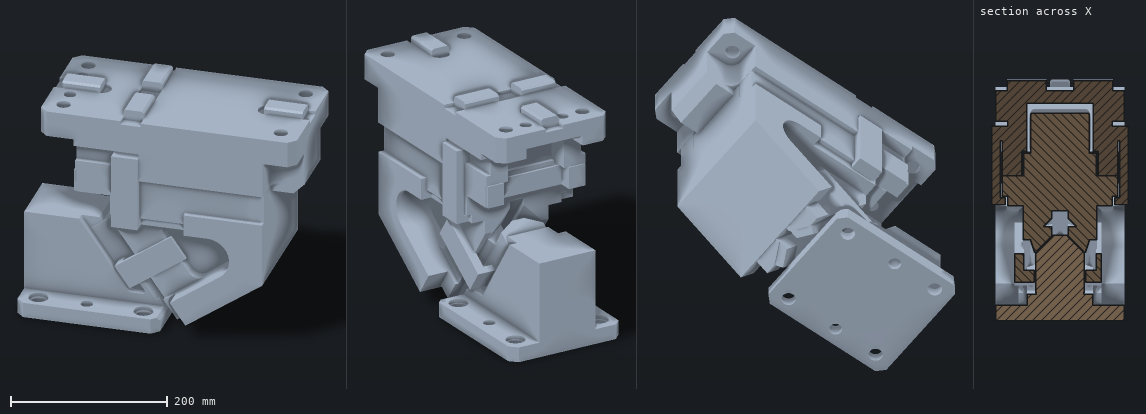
import cadquery as cq
import math


LENGTH = 372.0
HEIGHT = 309.0
HALF_WIDTH = 82.5
CORNER_CHAMFER = 10.0
STRAP_WIDTH = 35.0
MARGIN = 37.2
TILT = math.radians(35)
ROOF_SLOPE = math.tan(math.radians(30))

INCLINED = cq.Plane(
    origin=(0, 0, 0),
    xDir=(0, 1, 0),
    normal=(math.sin(TILT), 0, -math.cos(TILT)),
)
FRONT = cq.Plane(origin=(0, 0, 0), xDir=(1, 0, 0), normal=(0, -1, 0))


def inclined(n, s):
    """X and Z of a point given square to the roof (n) and down along it (s)."""
    return (
        n * math.cos(TILT) + s * math.sin(TILT),
        n * math.sin(TILT) - s * math.cos(TILT),
    )


def at_height(n, z):
    """X and Z of the point at height z on the plane n."""
    return ((n - z * math.sin(TILT)) / math.cos(TILT), z)


def at_x(n, x):
    """X and Z of the point at x on the plane n."""
    return (x, (n - x * math.cos(TILT)) / math.sin(TILT))


def box(x0, x1, y0, y1, z0, z1):
    return cq.Workplane("XY").box(x1 - x0, y1 - y0, z1 - z0, centered=False).translate((x0, y0, z0))


def wide_box(x0, x1, half_width, z0, z1):
    """Box centred on Y = 0."""
    return box(x0, x1, -half_width, half_width, z0, z1)


def slab(points, y0, y1):
    """XZ outline filled from y0 to y1."""
    return cq.Workplane(FRONT).polyline(points).close().extrude(y1 - y0).translate((0, y1, 0))


def wide_slab(points, half_width):
    return slab(points, -half_width, half_width)


def inclined_rectangle(n0, n1, s0, s1):
    return [inclined(n0, s0), inclined(n1, s0), inclined(n1, s1), inclined(n0, s1)]


def inclined_prism(section, s0, s1):
    """Section of (y, n) points run along the incline from s0 to s1."""
    return cq.Workplane(INCLINED).workplane(offset=s0).polyline(section).close().extrude(s1 - s0)


def both_sides(shape):
    """The shape with its mirror image across Y = 0."""
    return shape.union(shape.mirror("XZ"))


def corner_at(point):
    """Selector for the edge along Y through an XZ point."""
    x, z = point
    tolerance = 0.05
    low = (x - tolerance, -LENGTH, z - tolerance)
    high = (x + tolerance, LENGTH, z + tolerance)
    return cq.selectors.BoxSelector(low, high)


def round_holes(points, diameter, z0, z1):
    return cq.Workplane("XY").workplane(offset=z0).pushPoints(points).circle(diameter / 2).extrude(z1 - z0)


RIDGE_HALF_WIDTH = 9.0
TIP_HALF_WIDTH = 32.5
TIP_N = 165.0
PLATE_DROP = 9.5
SOLE_N = TIP_N + PLATE_DROP
RIDGE_N = TIP_N + (TIP_HALF_WIDTH - RIDGE_HALF_WIDTH) * ROOF_SLOPE

FOOT_LENGTH = 189.7
FOOT_HEIGHT = 20.5
BLOCK_HALF_WIDTH = 42.0
BLOCK_TOP = 130.2
RUNOUT_N = 164.0
UPPER_ROOF_HALF_WIDTH = 31.5
UPPER_ROOF_N = 136.5
ROOF_START = -44.3
ROOF_END = 77.7
SLOT_FLOOR = 30.5
SLOT_N = 134.3
LIP_N = 154.0
LIP_START = 28.0
SLOT_BOTTOM = 34.2
SLOT_CORNER_RADII = (7.5, 3.7)
SCREW_INSET = 25.0
SCREW_Y = 62.5
SCREW_DIAMETER = 18.2
SCREW_HEAD_DIAMETER = 26.0
SCREW_HEAD_DEPTH = 5.0
FOOT_DOWEL_X = 89.3
DOWEL_DIAMETER = 16.5


def make_foot():
    foot = wide_box(0, FOOT_LENGTH, HALF_WIDTH, 0, FOOT_HEIGHT).edges("|Z").chamfer(CORNER_CHAMFER)
    rows = (-SCREW_Y, SCREW_Y)
    screws = [(x, y) for x in (SCREW_INSET, FOOT_LENGTH - SCREW_INSET) for y in rows]
    dowels = [(FOOT_DOWEL_X, y) for y in rows]
    foot = foot.cut(round_holes(screws, SCREW_DIAMETER, 0, FOOT_HEIGHT))
    foot = foot.cut(round_holes(dowels, DOWEL_DIAMETER, 0, FOOT_HEIGHT))
    heads = round_holes(screws, SCREW_HEAD_DIAMETER, FOOT_HEIGHT - SCREW_HEAD_DEPTH, FOOT_HEIGHT)
    bevel = [
        at_height(RUNOUT_N, FOOT_HEIGHT),
        at_x(RUNOUT_N, FOOT_LENGTH),
        (FOOT_LENGTH, FOOT_HEIGHT),
    ]
    return foot.cut(heads).cut(wide_slab(bevel, HALF_WIDTH))


def make_block():
    """Upright block whose inclined face steps out below the roof."""
    outline = [
        (0, FOOT_HEIGHT),
        (0, BLOCK_TOP),
        at_height(LIP_N, BLOCK_TOP),
        inclined(LIP_N, ROOF_END),
        inclined(RUNOUT_N, ROOF_END),
        at_height(RUNOUT_N, FOOT_HEIGHT),
    ]
    return wide_slab(outline, BLOCK_HALF_WIDTH)


def roof_section(half_width, n0):
    eave_n = RIDGE_N - (half_width - RIDGE_HALF_WIDTH) * ROOF_SLOPE
    return [
        (-half_width, n0),
        (-half_width, eave_n),
        (-RIDGE_HALF_WIDTH, RIDGE_N),
        (RIDGE_HALF_WIDTH, RIDGE_N),
        (half_width, eave_n),
        (half_width, n0),
    ]


def make_hook_slot():
    """Slot in one side face for the slider's return hook, open at the top of the block."""
    outline = [
        at_height(SLOT_N, BLOCK_TOP + MARGIN),
        at_height(SLOT_N, SLOT_BOTTOM),
        at_height(LIP_N, SLOT_BOTTOM),
        at_height(LIP_N, BLOCK_TOP + MARGIN),
    ]
    slot = slab(outline, SLOT_FLOOR, HALF_WIDTH)
    blunt, sharp = SLOT_CORNER_RADII
    slot = slot.edges(corner_at(at_height(LIP_N, SLOT_BOTTOM))).fillet(sharp)
    return slot.edges(corner_at(at_height(SLOT_N, SLOT_BOTTOM))).fillet(blunt)


def make_driver():
    driver = make_block().cut(both_sides(make_hook_slot()))
    upper_roof = inclined_prism(roof_section(UPPER_ROOF_HALF_WIDTH, UPPER_ROOF_N), ROOF_START, ROOF_END)
    lower_roof = inclined_prism(roof_section(BLOCK_HALF_WIDTH, LIP_N), LIP_START, ROOF_END)
    return driver.union(upper_roof).union(lower_roof).union(make_foot())


SLIDER_LEFT = 124.0
SLIDER_RIGHT = 328.5
SLIDER_TOP = 186.5
NECK_HALF_WIDTH = 47.5
SHOULDER_HALF_WIDTH = 67.5
SHOULDER_BOTTOM = 147.0
RAIL_HALF_WIDTH = 74.5
RAIL_BOTTOM = 159.2
CHEEK_LEFT = 223.5
CHEEK_TOP = 176.0
CHEEK_N = 195.5
CHEEK_END = 115.0
INNER_LEG_HALF_WIDTH = 53.0
INNER_LEG_END = 110.5
WINDOW_S = 79.0
WINDOW_RADIUS = 29.0
POCKET_N = 224.7
POCKET_FLOOR = 33.0
POCKET_FILLET = 15.0
GROOVE_HALF_WIDTH = 10.5
GROOVE_TOP_N = 196.0
PLATE_START = -18.2
PLATE_END = 107.5
TONGUE_LEFT = 90.8
TONGUE_HALF_WIDTH = 47.0
TONGUE_BOTTOM = 188.2
TONGUE_TOP = 215.0
LUG_HALF_WIDTH = 38.0
LUG_STEP_X = 94.5
LUG_STEP_TOP = 222.0
LUG_LEFT = 100.5
LUG_RIGHT = 148.8
LUG_TOP = 266.0
LUG_FILLET = 2.2
RETURN_STRAP_S = 10.0
RETURN_STRAP_NEAR_OUTER = 53.0
RETURN_STRAP_FAR_OUTER = 58.5
RETURN_STRAP_GAP = 45.8
RETURN_STRAP_LOW_N = 143.5
RETURN_STRAP_HIGH_N = 234.5
RETURN_HOOK_TIP = 32.7
RETURN_HOOK_HEIGHT = 9.3

PLATE_LEAN = PLATE_DROP * ROOF_SLOPE
SOLE_EDGE = TIP_HALF_WIDTH + PLATE_LEAN
CHEEK_CORNER = (SLIDER_RIGHT, (SLIDER_RIGHT * math.sin(TILT) - CHEEK_END) / math.cos(TILT))


def slope_n(y, edge_y, edge_n):
    """n at half width y on a plane parallel to the roof through (edge_y, edge_n)."""
    return edge_n + (edge_y - y) * ROOF_SLOPE


def make_neck():
    outline = [
        (SLIDER_LEFT, SHOULDER_BOTTOM),
        at_x(SOLE_N, SLIDER_LEFT),
        inclined(SOLE_N, INNER_LEG_END),
        inclined(CHEEK_N, INNER_LEG_END),
        inclined(CHEEK_N, CHEEK_END),
        CHEEK_CORNER,
        (SLIDER_RIGHT, SHOULDER_BOTTOM),
    ]
    return wide_slab(outline, NECK_HALF_WIDTH)


def make_cheeks():
    """Outer side walls, with the inner legs that stiffen their lower ends."""
    outline = [
        (CHEEK_LEFT, CHEEK_TOP),
        (CHEEK_LEFT, SHOULDER_BOTTOM),
        at_height(CHEEK_N, SHOULDER_BOTTOM),
        inclined(CHEEK_N, CHEEK_END),
        CHEEK_CORNER,
        (SLIDER_RIGHT, CHEEK_TOP),
    ]
    inner_leg = inclined_rectangle(SOLE_N, CHEEK_N, WINDOW_S, INNER_LEG_END)
    return wide_slab(outline, HALF_WIDTH).union(wide_slab(inner_leg, INNER_LEG_HALF_WIDTH))


def make_window(left_n, y0):
    """Cutter for one side: flat roof, round right end, lower wall square to the incline."""
    radius = WINDOW_RADIUS
    center_z = SHOULDER_BOTTOM - radius
    center_s = WINDOW_S - radius
    center_x = (center_s + center_z * math.cos(TILT)) / math.sin(TILT)
    lower_tangent = (center_x + radius * math.sin(TILT), center_z - radius * math.cos(TILT))
    return (
        cq.Workplane(FRONT)
        .moveTo(*at_height(left_n, SHOULDER_BOTTOM))
        .lineTo(center_x, SHOULDER_BOTTOM)
        .threePointArc(
            (center_x + radius * math.cos(TILT), center_z + radius * math.sin(TILT)),
            lower_tangent,
        )
        .lineTo(*inclined(left_n, WINDOW_S))
        .close()
        .extrude(HALF_WIDTH - y0)
        .translate((0, HALF_WIDTH, 0))
    )


def make_pocket():
    """Deeper part of the window, rounded at its two left corners."""
    pocket = make_window(POCKET_N, POCKET_FLOOR)
    corners = (at_height(POCKET_N, SHOULDER_BOTTOM), inclined(POCKET_N, WINDOW_S))
    for corner in corners:
        pocket = pocket.edges(corner_at(corner)).fillet(POCKET_FILLET)
    return pocket


def make_sole_groove():
    """V groove with a flat-topped channel, along the whole sole."""
    shoulder_n = slope_n(GROOVE_HALF_WIDTH, SOLE_EDGE, SOLE_N)
    section = [
        (-SOLE_EDGE, SOLE_N),
        (-GROOVE_HALF_WIDTH, shoulder_n),
        (-GROOVE_HALF_WIDTH, GROOVE_TOP_N),
        (GROOVE_HALF_WIDTH, GROOVE_TOP_N),
        (GROOVE_HALF_WIDTH, shoulder_n),
        (SOLE_EDGE, SOLE_N),
    ]
    return inclined_prism(section, ROOF_START - MARGIN, CHEEK_END + MARGIN)


def make_wear_plates():
    section = [
        (SOLE_EDGE, SOLE_N),
        (TIP_HALF_WIDTH, TIP_N),
        (GROOVE_HALF_WIDTH, slope_n(GROOVE_HALF_WIDTH, TIP_HALF_WIDTH, TIP_N)),
        (GROOVE_HALF_WIDTH, slope_n(GROOVE_HALF_WIDTH, SOLE_EDGE, SOLE_N)),
    ]
    return both_sides(inclined_prism(section, PLATE_START, PLATE_END))


def make_return_strap(outer):
    """Hooked strap on the +Y side that lets the driver pull the slider back."""
    hook_n = RETURN_STRAP_LOW_N + RETURN_HOOK_HEIGHT
    section = [
        (RETURN_HOOK_TIP, RETURN_STRAP_LOW_N),
        (outer, RETURN_STRAP_LOW_N),
        (outer, RETURN_STRAP_HIGH_N),
        (NECK_HALF_WIDTH, RETURN_STRAP_HIGH_N),
        (NECK_HALF_WIDTH, SOLE_N),
        (RETURN_STRAP_GAP, SOLE_N),
        (RETURN_STRAP_GAP, hook_n),
        (RETURN_HOOK_TIP, hook_n),
    ]
    return inclined_prism(section, RETURN_STRAP_S, RETURN_STRAP_S + STRAP_WIDTH)


def make_slider():
    cheeks = make_cheeks().cut(both_sides(make_window(SOLE_N, NECK_HALF_WIDTH)))
    slider = make_neck().union(cheeks).cut(both_sides(make_pocket()))
    slider = slider.union(
        wide_box(SLIDER_LEFT, SLIDER_RIGHT, SHOULDER_HALF_WIDTH, SHOULDER_BOTTOM, RAIL_BOTTOM)
    )
    slider = slider.union(wide_box(SLIDER_LEFT, SLIDER_RIGHT, RAIL_HALF_WIDTH, RAIL_BOTTOM, SLIDER_TOP))
    slider = slider.cut(make_sole_groove()).union(make_wear_plates())
    slider = slider.union(wide_box(TONGUE_LEFT, SLIDER_RIGHT, TONGUE_HALF_WIDTH, TONGUE_BOTTOM, TONGUE_TOP))
    slider = slider.union(wide_box(SLIDER_LEFT, SLIDER_RIGHT, TONGUE_HALF_WIDTH, SLIDER_TOP, TONGUE_BOTTOM))
    slider = slider.union(wide_box(LUG_STEP_X, LUG_RIGHT, LUG_HALF_WIDTH, TONGUE_TOP, LUG_STEP_TOP))
    lug = wide_box(LUG_LEFT, LUG_RIGHT, LUG_HALF_WIDTH, LUG_STEP_TOP, LUG_TOP)
    slider = slider.union(lug.edges(">Z and |X").fillet(LUG_FILLET))
    far_strap = make_return_strap(RETURN_STRAP_FAR_OUTER)
    near_strap = make_return_strap(RETURN_STRAP_NEAR_OUTER).mirror("XZ")
    return slider.union(far_strap).union(near_strap)


HOLDER_LEFT = 31.2
PLATE_TOP = 299.5
PLATE_BOTTOM = 264.5
BODY_LEFT = 77.0
BODY_RIGHT = 329.0
BODY_BOTTOM = 216.5
NOTCH_RIGHT = 163.5
NOTCH_BOTTOM = 230.3
NOTCH_TOP = 255.2
GUIDE_LEFT = 79.0
GUIDE_NOSE = 75.0
GUIDE_NOSE_HALF_WIDTH = 73.0
CHANNEL_HALF_WIDTH = 48.7
TUNNEL_HALF_WIDTH = 42.0
TUNNEL_TOP = 278.3
TUNNEL_RIGHT = 223.2
RIB_HALF_WIDTH = 37.2
RIB_BOTTOM = 204.2
RIB_CHAMFER = 15.0
RIB_FILLET = 15.3
STRAP_TOP = 249.5
STRAP_BOTTOM = 148.5
STRAP_OUTER = 87.5
STRAP_INNER = 76.3
STRAP_HOOK_TOP = 157.7
STRAP_HOOK_TIP = 69.5
KEY_BOTTOM = 294.5
KEY_CHAMFER = 2.5
CROSS_KEY_X = (140.0, 166.5)
CROSS_KEY_Y = (17.0, 68.0)
END_KEY_HALF_WIDTH = 13.0
END_KEYS_X = ((42.5, 92.5), (311.0, 362.5))
KEY_SLOT_CENTERS = (91.5, 312.5)
BOLT_X = (57.0, 346.5)
BOLT_Y = 57.3
BOLT_DIAMETER = 19.0
DOWEL_Y = 27.5


def make_plate():
    plate = wide_box(HOLDER_LEFT, LENGTH, HALF_WIDTH, PLATE_BOTTOM, PLATE_TOP)
    return plate.edges("|Z").chamfer(CORNER_CHAMFER)


def make_holder_body():
    body = wide_box(BODY_LEFT, BODY_RIGHT, HALF_WIDTH, BODY_BOTTOM, PLATE_BOTTOM)
    notch = box(BODY_LEFT, NOTCH_RIGHT, SHOULDER_HALF_WIDTH, HALF_WIDTH, NOTCH_BOTTOM, NOTCH_TOP)
    relief = box(BODY_LEFT, NOTCH_RIGHT, RAIL_HALF_WIDTH, HALF_WIDTH, BODY_BOTTOM, NOTCH_BOTTOM)
    return body.cut(both_sides(notch)).cut(both_sides(relief))


def make_guide_legs():
    leg = box(GUIDE_LEFT, SLIDER_RIGHT, CHANNEL_HALF_WIDTH, RAIL_HALF_WIDTH, SLIDER_TOP, BODY_BOTTOM)
    nose = box(GUIDE_NOSE, GUIDE_LEFT, CHANNEL_HALF_WIDTH, GUIDE_NOSE_HALF_WIDTH, SLIDER_TOP, BODY_BOTTOM)
    return both_sides(leg.union(nose))


def make_end_rib():
    """Stop rib under the right end of the plate, flared into the body's end face."""
    rib = wide_box(BODY_RIGHT, LENGTH, RIB_HALF_WIDTH, RIB_BOTTOM, PLATE_BOTTOM)
    rib = rib.edges("|Y and >X and <Z").chamfer(RIB_CHAMFER)
    flare_y = RIB_HALF_WIDTH + RIB_FILLET
    flare = box(BODY_RIGHT, BODY_RIGHT + RIB_FILLET, RIB_HALF_WIDTH, flare_y, BODY_BOTTOM, PLATE_BOTTOM)
    hollow = round_holes([(BODY_RIGHT + RIB_FILLET, flare_y)], 2 * RIB_FILLET, BODY_BOTTOM, PLATE_BOTTOM)
    return rib.union(both_sides(flare.cut(hollow)))


def make_holder_straps():
    """C-shaped straps: the upper hook sits in the notch, the lower one under the slider rail."""
    section = [
        (STRAP_OUTER, STRAP_BOTTOM),
        (STRAP_OUTER, STRAP_TOP),
        (SHOULDER_HALF_WIDTH, STRAP_TOP),
        (SHOULDER_HALF_WIDTH, NOTCH_BOTTOM),
        (STRAP_INNER, NOTCH_BOTTOM),
        (STRAP_INNER, STRAP_HOOK_TOP),
        (STRAP_HOOK_TIP, STRAP_HOOK_TOP),
        (STRAP_HOOK_TIP, STRAP_BOTTOM),
    ]
    strap = cq.Workplane("YZ").workplane(offset=NOTCH_RIGHT - STRAP_WIDTH)
    return both_sides(strap.polyline(section).close().extrude(STRAP_WIDTH))


def make_keys():
    """Two cross keys and two end keys standing above the plate."""
    cross = box(*CROSS_KEY_X, *CROSS_KEY_Y, KEY_BOTTOM, HEIGHT).edges(">Z and |Y").chamfer(KEY_CHAMFER)
    keys = both_sides(cross)
    for left, right in END_KEYS_X:
        key = wide_box(left, right, END_KEY_HALF_WIDTH, KEY_BOTTOM, HEIGHT)
        keys = keys.union(key.edges(">Z and |X").chamfer(KEY_CHAMFER))
    return keys


def make_key_slots():
    slots = wide_box(*CROSS_KEY_X, HALF_WIDTH, KEY_BOTTOM, PLATE_TOP)
    for center, end in zip(KEY_SLOT_CENTERS, (HOLDER_LEFT, LENGTH)):
        straight = wide_box(min(center, end), max(center, end), END_KEY_HALF_WIDTH, KEY_BOTTOM, PLATE_TOP)
        rounded = round_holes([(center, 0)], 2 * END_KEY_HALF_WIDTH, KEY_BOTTOM, PLATE_TOP)
        slots = slots.union(straight).union(rounded)
    return slots


def make_plate_holes():
    bolts = [(x, y) for x in BOLT_X for y in (-BOLT_Y, BOLT_Y)]
    dowels = [(BOLT_X[0], y) for y in (-DOWEL_Y, DOWEL_Y)]
    bolt_holes = round_holes(bolts, BOLT_DIAMETER, PLATE_BOTTOM, PLATE_TOP)
    return bolt_holes.union(round_holes(dowels, DOWEL_DIAMETER, PLATE_BOTTOM, PLATE_TOP))


def make_holder():
    holder = make_plate().union(make_holder_body()).union(make_guide_legs()).union(make_end_rib())
    holder = holder.cut(wide_box(HOLDER_LEFT, TUNNEL_RIGHT, TUNNEL_HALF_WIDTH, BODY_BOTTOM, TUNNEL_TOP))
    holder = holder.cut(make_key_slots()).cut(make_plate_holes())
    return holder.union(make_holder_straps()).union(make_keys())


driver = make_driver()
slider = make_slider()
holder = make_holder()
result = cq.Compound.makeCompound([driver.val(), slider.val(), holder.val()])